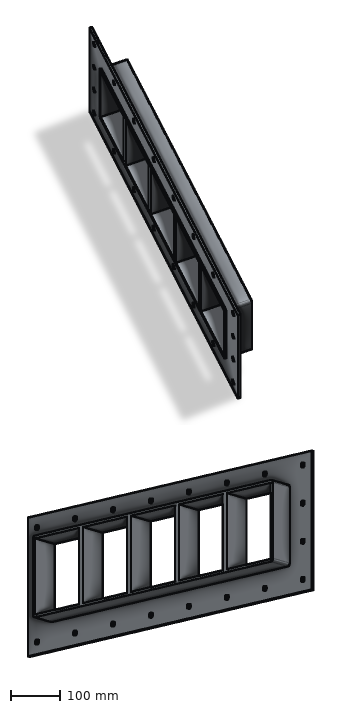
import cadquery as cq

plate_length = 774.5
plate_height = 291.0
plate_thickness = 6.0

frame_depth = 60.0
frame_lip = 2.7
frame_wall = 6.0
frame_corner_radius = 6.0

window_count = 5
window_width = 119.0
window_height = 159.5
web_thickness = 12.0
window_pitch = window_width + web_thickness
frame_length = window_count * window_pitch - web_thickness + 2 * frame_wall
frame_height = window_height + 2 * frame_wall

hole_diameter = 10.0
hole_span_x = 725.0
hole_span_z = 240.0
hole_columns = 8
hole_rows = 4


def upright_block(length, depth, height, front_y):
    """Block centred on X and Z, running in +Y from front_y."""
    return (
        cq.Workplane("XY")
        .box(length, depth, height, centered=(True, False, True))
        .translate((0, front_y, 0))
    )


def through_tool_plane():
    """XZ sketch plane behind the part; extrusions run toward -Y."""
    return cq.Workplane("XZ", origin=(0, frame_depth, 0))


def bolt_hole_points():
    """Centres of the holes lying on the border of the hole grid."""
    points = []
    for column in range(hole_columns):
        for row in range(hole_rows):
            on_border = column in (0, hole_columns - 1) or row in (0, hole_rows - 1)
            if on_border:
                x = hole_span_x * (column / (hole_columns - 1) - 0.5)
                z = hole_span_z * (row / (hole_rows - 1) - 0.5)
                points.append((x, z))
    return points


plate = upright_block(plate_length, plate_thickness, plate_height, frame_lip)

frame = upright_block(frame_length, frame_depth, frame_height, 0)
frame = frame.edges("|Y").fillet(frame_corner_radius)

windows = (
    through_tool_plane()
    .rarray(window_pitch, 8, window_count, 1)
    .rect(window_width, window_height)
    .extrude(frame_depth)
)

bolt_holes = (
    through_tool_plane()
    .pushPoints(bolt_hole_points())
    .circle(hole_diameter / 2)
    .extrude(frame_depth)
)

result = plate.union(frame).cut(windows).cut(bolt_holes)